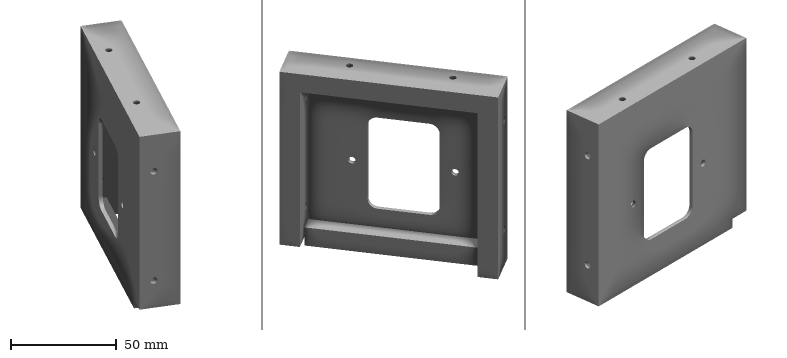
import cadquery as cq

width = 106.0
depth = 20.0
height = 100.0

bar = 10.0
face_thickness = 2.0
side_bar_lift = 5.0
front_frame_depth = depth / 2
body_width = width - bar

center_x = height / 2
window_width = 35.0
window_height = 50.0
window_base = 20.0
window_radius = 5.0
hole_diameter = 3.5
face_hole_spacing = height / 2
face_hole_z = 45.0
edge_hole_y = 7.0
top_hole_spacing = height / 2
side_hole_spacing = 60.0


def box(x_range, y_range, z_range):
    """Box spanning the given (low, high) ranges."""
    (x0, x1), (y0, y1), (z0, z1) = x_range, y_range, z_range
    return cq.Workplane("XY").box(x1 - x0, y1 - y0, z1 - z0, centered=False).translate((x0, y0, z0))


def hole(start, direction, length):
    """Cylindrical hole tool running from a start point along a direction."""
    return cq.Workplane(cq.Solid.makeCylinder(
        hole_diameter / 2, length, cq.Vector(*start), cq.Vector(*direction)))


result = box((0, body_width), (0, depth), (0, height))
result = result.union(box((body_width, width), (0, depth), (side_bar_lift, height)))

inside_x = (bar, body_width)
inside_top = height - bar
result = result.cut(box(inside_x, (face_thickness, depth), (bar, inside_top)))
result = result.cut(box(inside_x, (front_frame_depth, depth), (0, inside_top)))

window = (
    box(
        (center_x - window_width / 2, center_x + window_width / 2),
        (0, face_thickness),
        (window_base, window_base + window_height),
    )
    .edges("|Y")
    .fillet(window_radius)
)
result = result.cut(window)

for side in (-1, 1):
    face_hole_x = center_x + side * face_hole_spacing / 2
    result = result.cut(hole((face_hole_x, 0, face_hole_z), (0, 1, 0), face_thickness))

    top_hole_x = center_x + side * top_hole_spacing / 2
    result = result.cut(hole((top_hole_x, edge_hole_y, height), (0, 0, -1), bar))

    side_hole_z = height / 2 + side * side_hole_spacing / 2
    result = result.cut(hole((0, edge_hole_y, side_hole_z), (1, 0, 0), width))